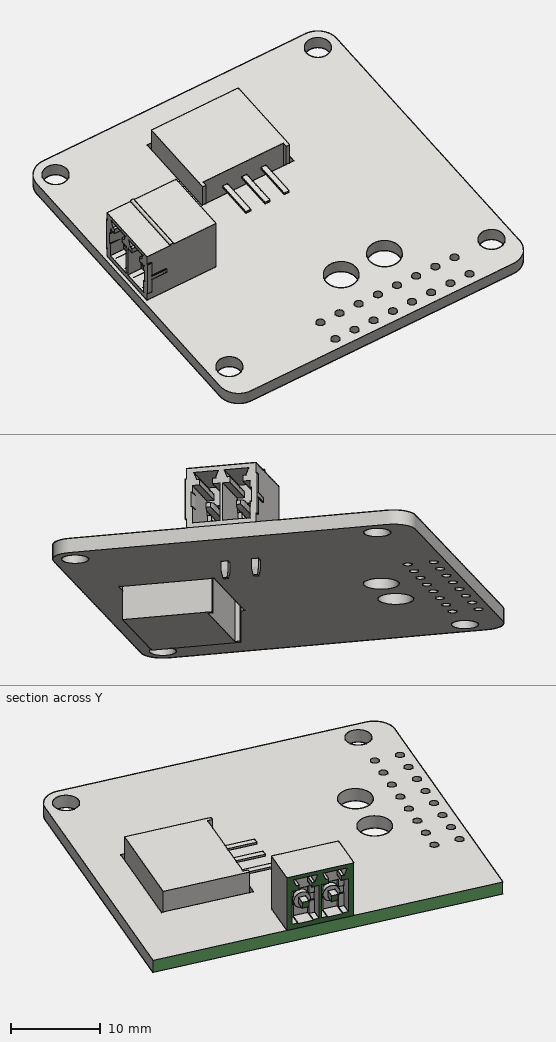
import cadquery as cq


BOARD_LENGTH = 41.9
BOARD_WIDTH = 40.0
BOARD_THICKNESS = 1.68
CORNER_RADIUS = 2.5

MOUNT_HOLE_DIAMETER = 3.0
MOUNT_HOLE_INSET = 2.5
MOUNT_HOLE_PITCH = BOARD_WIDTH - 2 * MOUNT_HOLE_INSET

HEADER_HOLE_DIAMETER = 1.0
HEADER_ROWS = 8
HEADER_COLUMNS = 2
HEADER_ROW_PITCH = 2.55
HEADER_COLUMN_PITCH = 3.0
HEADER_CENTER_Y = 3.6

LARGE_HOLE_DIAMETER = 4.0
LARGE_HOLE_X = 11.77
LARGE_HOLE_CENTER_Y = 3.48
LARGE_HOLE_PITCH = 5.8

MODULE_LENGTH = 10.35
MODULE_WIDTH = 11.6
MODULE_TOP_Z = 2.5
MODULE_BOTTOM_Z = -5.45
MODULE_CENTER_X = -11.05
MODULE_CENTER_Y = -0.38
MODULE_GAP = 0.35
WINDOW_LENGTH = MODULE_LENGTH + 2 * MODULE_GAP
WINDOW_WIDTH = MODULE_WIDTH + 2 * MODULE_GAP
LUG_LENGTH = 0.6
LUG_WIDTH = 0.45

LEAD_COUNT = 3
LEAD_CENTER_Y = -0.25
LEAD_PITCH = 2.55
LEAD_WIDTH = 0.65
LEAD_THICKNESS = 0.25
LEAD_BOTTOM_Z = 0.1
LEAD_LENGTH = 4.7

HOUSING_WIDTH = 8.05
HOUSING_DEPTH = 9.2
HOUSING_HEIGHT = 7.1
HOUSING_CENTER_X = -0.92
HOUSING_FRONT_Y = -19.55
HOUSING_BACK_Y = HOUSING_FRONT_Y + HOUSING_DEPTH

TOP_RIB_HEIGHT = 0.2
TOP_RIB_FRONT = 3.1
TOP_RIB_BASE = 0.5

SIDE_RIB_PROJECTION = 0.145
SIDE_BAR_BOTTOM_Z = 1.17
SIDE_BAR_HEIGHT = 4.7
SIDE_BAR_DEPTH = 0.55
SIDE_RIB_CENTER_Z = 3.45
SIDE_RIB_HEIGHT = 0.5
SIDE_RIB_DEPTH = 2.55

POLE_PITCH = 3.5
POLE_CENTERS_X = [HOUSING_CENTER_X + side * POLE_PITCH / 2 for side in (-1, 1)]

SOCKET_WIDTH = 3.2
SOCKET_DEPTH = 5.85
SOCKET_FLOOR_Z = 0.65
SOCKET_CEILING_Z = 5.03
NECK_WIDTH = 1.5
DOVETAIL_BOTTOM_Z = 5.7
DOVETAIL_BOTTOM_WIDTH = 2.18
DOVETAIL_TOP_Z = 6.55
DOVETAIL_TOP_WIDTH = 2.85

RECESS_WIDTH = 1.85
RECESS_TOP_Z = 4.35
RECESS_DEPTH = 0.4
GROOVE_DEPTH = 0.13
GROOVE_START = 0.3
BAND_HEIGHT = 1.0
BAND_DEPTH = 0.2
BOSS_DIAMETER = 2.0
BOSS_LENGTH = 0.63

NOTCH_DEPTH = 0.13
NOTCH_LENGTH = 1.25
NOTCH_BOTTOM_Z = 2.6
NOTCH_HEIGHT = 1.68

PIN_SIZE = 0.85
PIN_TIP_SIZE = 0.5
PIN_TIP_LENGTH = 0.85
PIN_AXIS_Z = 2.9
PIN_TIP_INSET = 0.85
PIN_TIP_Y = HOUSING_FRONT_Y + PIN_TIP_INSET
PIN_LEG_Y = -11.77
PIN_LEG_PROTRUSION = 1.0
PIN_LEG_END_Z = -BOARD_THICKNESS - PIN_LEG_PROTRUSION


def box(x_range, y_range, z_range):
    """Box between the given limits along each axis."""
    sizes = [high - low for low, high in (x_range, y_range, z_range)]
    corner = (x_range[0], y_range[0], z_range[0])
    return cq.Workplane("XY").box(*sizes, centered=False).translate(corner)


def span(center, size):
    """Lower and upper limit of a length about its centre."""
    return center - size / 2, center + size / 2


def board_holes(diameter, points):
    """Cylinders through the board at the given points."""
    return (
        cq.Workplane("XY")
        .workplane(offset=-BOARD_THICKNESS)
        .pushPoints(points)
        .circle(diameter / 2)
        .extrude(BOARD_THICKNESS)
    )


def make_board():
    """Rounded plate with its holes and the module's window."""
    z_range = (-BOARD_THICKNESS, 0)
    plate = box(span(0, BOARD_LENGTH), span(0, BOARD_WIDTH), z_range)
    board = plate.edges("|Z").fillet(CORNER_RADIUS)

    left_x = -BOARD_LENGTH / 2 + MOUNT_HOLE_INSET
    right_x = left_x + MOUNT_HOLE_PITCH
    mount_points = [(x, y) for x in (left_x, right_x) for y in span(0, MOUNT_HOLE_PITCH)]
    board = board.cut(board_holes(MOUNT_HOLE_DIAMETER, mount_points))

    first_row_y = HEADER_CENTER_Y - (HEADER_ROWS - 1) * HEADER_ROW_PITCH / 2
    header_points = [
        (right_x + column * HEADER_COLUMN_PITCH, first_row_y + row * HEADER_ROW_PITCH)
        for column in range(HEADER_COLUMNS)
        for row in range(HEADER_ROWS)
    ]
    board = board.cut(board_holes(HEADER_HOLE_DIAMETER, header_points))

    large_points = [(LARGE_HOLE_X, y) for y in span(LARGE_HOLE_CENTER_Y, LARGE_HOLE_PITCH)]
    board = board.cut(board_holes(LARGE_HOLE_DIAMETER, large_points))

    window = box(
        span(MODULE_CENTER_X, WINDOW_LENGTH), span(MODULE_CENTER_Y, WINDOW_WIDTH), z_range
    )
    board = board.cut(window)

    for x in POLE_CENTERS_X:
        board = board.cut(box(span(x, PIN_SIZE), span(PIN_LEG_Y, PIN_SIZE), z_range))
    return board


def make_module():
    """Block with a corner lug at each end of its lead side and flat leads just above the board."""
    left_x, right_x = span(MODULE_CENTER_X, MODULE_LENGTH)
    low_y, high_y = span(MODULE_CENTER_Y, MODULE_WIDTH)
    z_range = (MODULE_BOTTOM_Z, MODULE_TOP_Z)
    lead_side_x = right_x - LUG_LENGTH

    module = box((left_x, right_x), (low_y, high_y), z_range)
    module = module.cut(
        box((lead_side_x, right_x), (low_y + LUG_WIDTH, high_y - LUG_WIDTH), z_range)
    )
    for index in range(LEAD_COUNT):
        lead_y = LEAD_CENTER_Y + (index - (LEAD_COUNT - 1) / 2) * LEAD_PITCH
        lead = box(
            (lead_side_x, lead_side_x + LEAD_LENGTH),
            span(lead_y, LEAD_WIDTH),
            (LEAD_BOTTOM_Z, LEAD_BOTTOM_Z + LEAD_THICKNESS),
        )
        module = module.union(lead)
    return module


def make_top_rib():
    """Low rib with a rounded crest across the housing's top."""
    front_y = HOUSING_FRONT_Y + TOP_RIB_FRONT
    back_y = front_y + TOP_RIB_BASE
    crest = ((front_y + back_y) / 2, HOUSING_HEIGHT + TOP_RIB_HEIGHT)
    left_x = HOUSING_CENTER_X - HOUSING_WIDTH / 2
    return (
        cq.Workplane("YZ", origin=(left_x, 0, 0))
        .moveTo(front_y, HOUSING_HEIGHT)
        .threePointArc(crest, (back_y, HOUSING_HEIGHT))
        .close()
        .extrude(HOUSING_WIDTH)
    )


def make_side_ribs():
    """T-shaped raised ribs on both side walls: an upright bar at the front and a stem behind it."""
    x_range = span(HOUSING_CENTER_X, HOUSING_WIDTH + 2 * SIDE_RIB_PROJECTION)
    bar = box(
        x_range,
        (HOUSING_FRONT_Y, HOUSING_FRONT_Y + SIDE_BAR_DEPTH),
        (SIDE_BAR_BOTTOM_Z, SIDE_BAR_BOTTOM_Z + SIDE_BAR_HEIGHT),
    )
    stem = box(
        x_range,
        (HOUSING_FRONT_Y, HOUSING_FRONT_Y + SIDE_RIB_DEPTH),
        span(SIDE_RIB_CENTER_Z, SIDE_RIB_HEIGHT),
    )
    return bar.union(stem)


def make_socket(x):
    """Cavity of one pole: keyed opening, stepped back wall and a floor groove that deepens inward."""
    right_half = [
        (SOCKET_WIDTH / 2, SOCKET_FLOOR_Z),
        (SOCKET_WIDTH / 2, SOCKET_CEILING_Z),
        (NECK_WIDTH / 2, SOCKET_CEILING_Z),
        (NECK_WIDTH / 2, DOVETAIL_BOTTOM_Z),
        (DOVETAIL_BOTTOM_WIDTH / 2, DOVETAIL_BOTTOM_Z),
        (DOVETAIL_TOP_WIDTH / 2, DOVETAIL_TOP_Z),
    ]
    left_half = [(-half_width, z) for half_width, z in reversed(right_half)]
    outline = [(x + offset, z) for offset, z in right_half + left_half]
    opening = (
        cq.Workplane("XZ", origin=(0, HOUSING_FRONT_Y, 0))
        .polyline(outline)
        .close()
        .extrude(-SOCKET_DEPTH)
    )

    back_y = HOUSING_FRONT_Y + SOCKET_DEPTH
    recess_end_y = back_y + RECESS_DEPTH
    recess = box(
        span(x, RECESS_WIDTH), (back_y, recess_end_y), (SOCKET_FLOOR_Z, RECESS_TOP_Z)
    )
    groove_profile = [
        (HOUSING_FRONT_Y + GROOVE_START, SOCKET_FLOOR_Z),
        (recess_end_y, SOCKET_FLOOR_Z - GROOVE_DEPTH),
        (recess_end_y, SOCKET_FLOOR_Z),
    ]
    groove = (
        cq.Workplane("YZ", origin=(x - RECESS_WIDTH / 2, 0, 0))
        .polyline(groove_profile)
        .close()
        .extrude(RECESS_WIDTH)
    )
    band = box(
        span(x, SOCKET_WIDTH), (back_y, back_y + BAND_DEPTH), span(PIN_AXIS_Z, BAND_HEIGHT)
    )
    boss = (
        cq.Workplane("XZ", origin=(x, recess_end_y, PIN_AXIS_Z))
        .circle(BOSS_DIAMETER / 2)
        .extrude(BOSS_LENGTH)
    )
    return opening.union(recess).union(groove).union(band).cut(boss)


def make_wall_notch(side):
    """Tapered notch in the outer wall of a socket; side is -1 on the left and 1 on the right."""
    wall_x = HOUSING_CENTER_X + side * (POLE_PITCH + SOCKET_WIDTH) / 2
    corners = [
        (wall_x, HOUSING_FRONT_Y),
        (wall_x + side * NOTCH_DEPTH, HOUSING_FRONT_Y),
        (wall_x, HOUSING_FRONT_Y + NOTCH_LENGTH),
    ]
    return (
        cq.Workplane("XY")
        .workplane(offset=NOTCH_BOTTOM_Z)
        .polyline(corners)
        .close()
        .extrude(NOTCH_HEIGHT)
    )


def pin_tip(base_plane):
    """Tapered end of a square pin, growing along the normal of its base plane."""
    return (
        cq.Workplane(base_plane)
        .rect(PIN_SIZE, PIN_SIZE)
        .workplane(offset=PIN_TIP_LENGTH)
        .rect(PIN_TIP_SIZE, PIN_TIP_SIZE)
        .loft()
    )


def make_contact_pin(x):
    """Bent square pin: one arm into the socket, one leg down through the board."""
    arm_start_y = PIN_TIP_Y + PIN_TIP_LENGTH
    leg_back_y = PIN_LEG_Y + PIN_SIZE / 2
    arm = box(span(x, PIN_SIZE), (arm_start_y, leg_back_y), span(PIN_AXIS_Z, PIN_SIZE))
    leg = box(span(x, PIN_SIZE), span(PIN_LEG_Y, PIN_SIZE), (PIN_LEG_END_Z, PIN_AXIS_Z))
    arm_tip = pin_tip(cq.Plane((x, arm_start_y, PIN_AXIS_Z), (1, 0, 0), (0, -1, 0)))
    leg_tip = pin_tip(cq.Plane((x, PIN_LEG_Y, PIN_LEG_END_Z), (1, 0, 0), (0, 0, -1)))
    return arm.union(leg).union(arm_tip).union(leg_tip)


def make_connector():
    """Housing with two sockets and its contact pins, as one body."""
    connector = box(
        span(HOUSING_CENTER_X, HOUSING_WIDTH),
        (HOUSING_FRONT_Y, HOUSING_BACK_Y),
        (0, HOUSING_HEIGHT),
    )
    connector = connector.union(make_top_rib()).union(make_side_ribs())
    for side in (-1, 1):
        connector = connector.cut(make_wall_notch(side))
    for x in POLE_CENTERS_X:
        connector = connector.cut(make_socket(x)).union(make_contact_pin(x))
    return connector


board = make_board()
module = make_module()
connector = make_connector()

result = cq.Compound.makeCompound([board.solids().val(), module.solids().val(), connector.solids().val()])